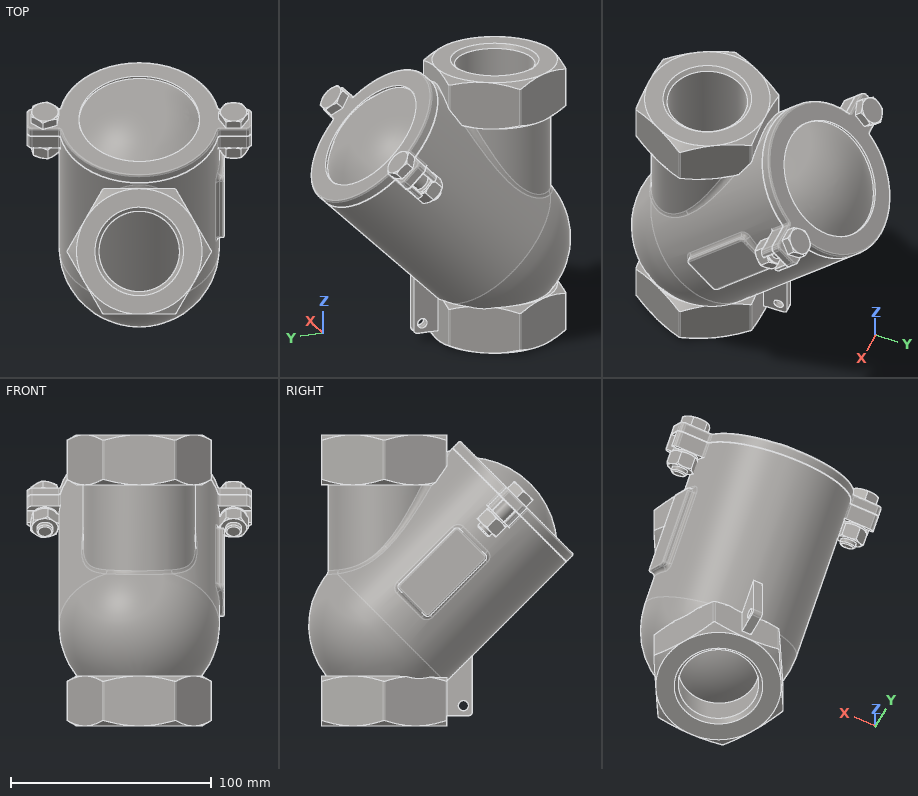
import cadquery as cq
import math

TOTAL_HEIGHT = 145.0
HEX_FLATS = 62.5
HEX_HEIGHT = 25.0
HEX_EDGE_RADIUS = 1.0
HEX_CHAMFER_ANGLE = 30.0
NECK_DIAMETER = 56.0
BORE_DIAMETER = 40.0
BORE_CHAMFER = 2.0
NECK_FILLET = 3.0

CHAMBER_DIAMETER = 80.0
CHAMBER_RADIUS = CHAMBER_DIAMETER / 2
CHAMBER_TILT = 45.0
CHAMBER_CENTRE_Y = 2.3
CHAMBER_CENTRE_Z = 50.0

COVER_TOP = 90.0
COVER_THICKNESS = 5.0
GASKET_THICKNESS = 0.3
LUG_THICKNESS = 8.0
COVER_BOTTOM = COVER_TOP - COVER_THICKNESS
FLANGE_TOP = COVER_BOTTOM - GASKET_THICKNESS
LUG_BOTTOM = FLANGE_TOP - LUG_THICKNESS

LUG_SPAN = 112.0
LUG_WIDTH = 14.5
LUG_CORNER_CHAMFER = 1.7
LUG_CORNER_FILLET = 1.9
LUG_ROOT_FILLET = 1.0
COVER_EDGE_FILLET = 0.7

DOME_DIAMETER = 60.0
DOME_SPHERE_RADIUS = 45.7
DOME_RISE = 9.7

BOLT_OFFSET = 47.0
SHANK_DIAMETER = 8.0
SHANK_TIP_DIAMETER = 6.7
CLEARANCE_DIAMETER = 8.4
FASTENER_FLATS = 13.0
HEAD_HEIGHT = 5.0
NUT_HEIGHT = 8.1
NUT_COLLAR_DIAMETER = 13.0
NUT_COLLAR_HEIGHT = 0.9
SHANK_PROTRUSION = 2.6

PAD_WIDTH = 22.0
PAD_START = 16.2
PAD_LENGTH = 42.8
PAD_FACE_X = 42.3
PAD_CORNER_RADIUS = 2.0
PAD_BASE_FILLET = 2.0
PAD_EDGE_FILLET = 0.9
PAD_FOOT_DEPTH = 7.2
SELECT_MARGIN = 0.1

TAG_THICKNESS = 5.0
TAG_EDGE_Y = 44.0
TAG_BOTTOM_Z = 5.1
TAG_HOLE_DIAMETER = 5.0
TAG_HOLE_Y = 39.5
TAG_HOLE_Z = 10.2
TAG_CORNER_RADIUS = 2.0


def tilt(part):
    """Move a part from the chamber's own frame (axis along Z) to its place in the valve."""
    turned = part.rotate((0, 0, 0), (1, 0, 0), -CHAMBER_TILT)
    return turned.translate((0, CHAMBER_CENTRE_Y, CHAMBER_CENTRE_Z))


def corner_cutter(flats, corners, height, chamfer_bottom):
    """Round blank whose cones trim a hexagon's corners, starting at the circle inside its flats."""
    inner = flats / 2
    outer = corners / 2
    drop = (outer - inner) * math.tan(math.radians(HEX_CHAMFER_ANGLE))
    lower_end = [(inner, 0), (outer, drop)] if chamfer_bottom else [(outer, 0)]
    upper_end = [(outer, height - drop), (inner, height)]
    profile = [(0, 0)] + lower_end + upper_end + [(0, height)]
    return cq.Workplane("XZ").polyline(profile).close().revolve(360, (0, 0, 0), (0, 1, 0))


def hexagon(flats, height, chamfer_bottom=True, edge_radius=0.0):
    """Hexagonal prism with corners along +X and -X and its lower face at Z = 0."""
    corners = flats / math.cos(math.pi / 6)
    prism = cq.Workplane("XY").polygon(6, corners).extrude(height)
    if edge_radius:
        prism = prism.edges("|Z").fillet(edge_radius)
    return prism.intersect(corner_cutter(flats, corners, height, chamfer_bottom))


def lugged_disc(bottom, top):
    """Disc with the chamber's diameter and two bolt lugs along X, in the chamber's frame."""
    height = top - bottom
    lugs = (
        cq.Workplane("XY", origin=(0, 0, bottom)).rect(LUG_SPAN, LUG_WIDTH).extrude(height)
        .edges("|Z").chamfer(LUG_CORNER_CHAMFER).edges("|Z").fillet(LUG_CORNER_FILLET)
    )
    disc = cq.Workplane("XY", origin=(0, 0, bottom)).circle(CHAMBER_RADIUS).extrude(height)
    joined = disc.union(lugs)
    roots = cq.selectors.BoxSelector(
        (-CHAMBER_RADIUS, -LUG_WIDTH, bottom), (CHAMBER_RADIUS, LUG_WIDTH, top)
    )
    return joined.edges("|Z").edges(roots).fillet(LUG_ROOT_FILLET)


def bolt_holes(bottom, top):
    """Clearance cylinders for both bolts, in the chamber's frame."""
    return (
        cq.Workplane("XY", origin=(0, 0, bottom))
        .pushPoints([(-BOLT_OFFSET, 0), (BOLT_OFFSET, 0)])
        .circle(CLEARANCE_DIAMETER / 2).extrude(top - bottom)
    )


def chamber_core():
    """Cylinder closed by a hemisphere, in the chamber's frame."""
    barrel = cq.Workplane("XY").circle(CHAMBER_RADIUS).extrude(FLANGE_TOP)
    return barrel.union(cq.Workplane("XY").sphere(CHAMBER_RADIUS))


def lug_slots():
    """Slots, open at the outer ends, that let the bolts swing out of the housing lugs."""
    length = LUG_SPAN / 2 - BOLT_OFFSET
    slots = bolt_holes(LUG_BOTTOM, FLANGE_TOP)
    for side in (-1, 1):
        slots = slots.union(
            cq.Workplane("XY", origin=(side * (BOLT_OFFSET + length / 2), 0, LUG_BOTTOM))
            .rect(length, CLEARANCE_DIAMETER).extrude(LUG_THICKNESS)
        )
    return slots


def add_name_pad(chamber):
    """Add the flat pad with rounded corners and blend it into the barrel."""
    pad_middle = PAD_START + PAD_LENGTH / 2
    pad = (
        cq.Workplane("YZ", origin=(0, 0, pad_middle)).rect(PAD_WIDTH, PAD_LENGTH).extrude(PAD_FACE_X)
        .edges("|X").fillet(PAD_CORNER_RADIUS)
    )
    foot = cq.selectors.BoxSelector(
        (CHAMBER_RADIUS - PAD_FOOT_DEPTH, -PAD_WIDTH, PAD_START - SELECT_MARGIN),
        (CHAMBER_RADIUS + SELECT_MARGIN, PAD_WIDTH, PAD_START + PAD_LENGTH + SELECT_MARGIN),
    )
    joined = chamber.union(pad).edges(foot).edges("not |X").fillet(PAD_BASE_FILLET)
    return joined.faces(">X").edges().fillet(PAD_EDGE_FILLET)


def tag_lug():
    """Vertical plate under the barrel with a hole for a tag."""
    plate = (
        cq.Workplane("XY", origin=(0, TAG_EDGE_Y / 2, TAG_BOTTOM_Z))
        .rect(TAG_THICKNESS, TAG_EDGE_Y)
        .extrude(CHAMBER_CENTRE_Z - TAG_BOTTOM_Z)
        .edges("|X and >Y and <Z").fillet(TAG_CORNER_RADIUS)
    )
    hole = (
        cq.Workplane("YZ").center(TAG_HOLE_Y, TAG_HOLE_Z)
        .circle(TAG_HOLE_DIAMETER / 2).extrude(TAG_THICKNESS, both=True)
    )
    return plate.cut(hole)


def bore_blank():
    """Vertical bore with a countersink at each end."""
    bore = BORE_DIAMETER / 2
    mouth = bore + BORE_CHAMFER
    profile = [
        (0, 0), (mouth, 0), (bore, BORE_CHAMFER),
        (bore, TOTAL_HEIGHT - BORE_CHAMFER), (mouth, TOTAL_HEIGHT), (0, TOTAL_HEIGHT),
    ]
    return cq.Workplane("XZ").polyline(profile).close().revolve(360, (0, 0, 0), (0, 1, 0))


def blended_neck(chamber):
    """Chamber and upper neck joined, with the curve where they meet rounded."""
    neck = (
        cq.Workplane("XY", origin=(0, 0, CHAMBER_CENTRE_Z))
        .circle(NECK_DIAMETER / 2).extrude(TOTAL_HEIGHT - CHAMBER_CENTRE_Z)
    )
    return chamber.union(neck).edges("%BSPLINE").fillet(NECK_FILLET)


def make_housing():
    core = tilt(chamber_core())
    hex_end = hexagon(HEX_FLATS, HEX_HEIGHT, edge_radius=HEX_EDGE_RADIUS)
    lugs = lugged_disc(LUG_BOTTOM, FLANGE_TOP).cut(lug_slots())
    housing = (
        blended_neck(core)
        .union(tilt(add_name_pad(chamber_core())))
        .union(hex_end)
        .union(hex_end.translate((0, 0, TOTAL_HEIGHT - HEX_HEIGHT)))
        .union(tilt(lugs))
        .union(tag_lug())
    )
    return housing.cut(bore_blank().cut(core))


def make_gasket():
    gasket = lugged_disc(FLANGE_TOP, COVER_BOTTOM)
    return tilt(gasket.cut(bolt_holes(FLANGE_TOP, COVER_BOTTOM)))


def make_cover():
    plate = lugged_disc(COVER_BOTTOM, COVER_TOP).faces(">Z").edges().fillet(COVER_EDGE_FILLET)
    opening = (
        cq.Workplane("XY", origin=(0, 0, COVER_BOTTOM))
        .circle(DOME_DIAMETER / 2).extrude(COVER_THICKNESS + DOME_RISE)
    )
    sphere_centre = COVER_TOP + DOME_RISE - DOME_SPHERE_RADIUS
    ball = cq.Workplane("XY", origin=(0, 0, sphere_centre)).sphere(DOME_SPHERE_RADIUS)
    cover = plate.cut(opening).union(opening.intersect(ball))
    return tilt(cover.cut(bolt_holes(COVER_BOTTOM, COVER_TOP)))


def make_bolt(side, turn):
    """Hexagon bolt through one lug, its head turned about its own axis."""
    tip = LUG_BOTTOM - NUT_HEIGHT - SHANK_PROTRUSION
    head = hexagon(FASTENER_FLATS, HEAD_HEIGHT, chamfer_bottom=False)
    head = head.rotate((0, 0, 0), (0, 0, 1), turn).translate((0, 0, COVER_TOP))
    shank = (
        cq.Workplane("XY", origin=(0, 0, tip)).circle(SHANK_DIAMETER / 2).extrude(COVER_TOP - tip)
        .faces("<Z").chamfer((SHANK_DIAMETER - SHANK_TIP_DIAMETER) / 2)
    )
    return tilt(head.union(shank).translate((side * BOLT_OFFSET, 0, 0)))


def make_nut(side, turn):
    """Hexagon nut with a round collar against one lug, turned about its own axis."""
    hex_height = NUT_HEIGHT - NUT_COLLAR_HEIGHT
    body = hexagon(FASTENER_FLATS, hex_height).rotate((0, 0, 0), (0, 0, 1), turn)
    collar = (
        cq.Workplane("XY", origin=(0, 0, hex_height))
        .circle(NUT_COLLAR_DIAMETER / 2).extrude(NUT_COLLAR_HEIGHT)
    )
    thread = cq.Workplane("XY").circle(SHANK_DIAMETER / 2).extrude(NUT_HEIGHT)
    nut = body.union(collar).cut(thread)
    return tilt(nut.translate((side * BOLT_OFFSET, 0, LUG_BOTTOM - NUT_HEIGHT)))


housing = make_housing()
gasket = make_gasket()
cover = make_cover()
HEAD_TURNS = {-1: 22.0, 1: 0.0}
NUT_TURNS = {-1: 41.0, 1: 0.0}
bolts = [make_bolt(side, turn) for side, turn in HEAD_TURNS.items()]
nuts = [make_nut(side, turn) for side, turn in NUT_TURNS.items()]

result = cq.Compound.makeCompound(
    [housing.val(), gasket.val(), cover.val()] + [part.val() for part in bolts + nuts]
)